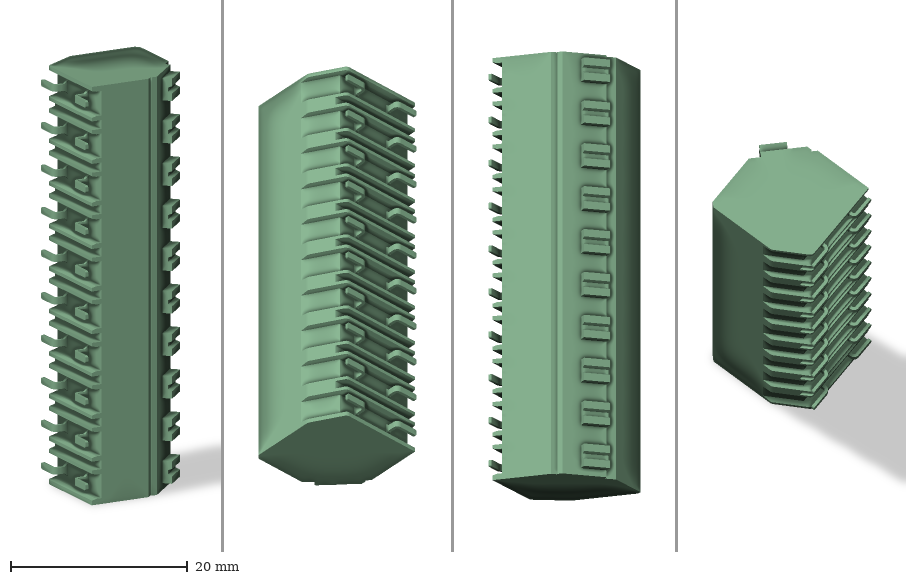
import cadquery as cq
import math

length = 49.2
width = 12.7
depth = 12.9
back_chamfer = 0.5
side_slope = math.radians(60)
slope_start_y = 4.1
slope_end_x = slope_start_y / math.tan(side_slope)
left_corner_radius = 1.0
front_corner_radius = 0.65

bevel_start_x = 7.15
bevel_sum = bevel_start_x + depth
ledge_height = 0.65
ledge_rise = ledge_height / math.sqrt(2)
ledge_start_x = 8.1
ledge_right_x = 12.35
undercut = 0.15

pole_count = 10
top_margin = 2.05
bottom_margin = 2.1
pitch = (length - top_margin - bottom_margin) / (pole_count - 1)
pole_heights = [length - top_margin - i * pitch for i in range(pole_count)]

front_recess = 1.25
side_recess = 0.6
taper_depth = side_recess
pocket_height = 3.15
pocket_floor_height = 2.85
slot_height = 1.05
overcut = 1.5

lead_thickness = 0.37
lead_height = 0.8
lead_root_height = 1.55
flare_depth = 0.5
foot_drop = 0.65
bend_radius = 0.65
foot_length = 3.0
foot_tip_radius = 0.2
left_tip_x = 1.8
right_tip_x = 12.35
lead_embed = 0.25

button_length = 3.15
button_rise = 1.15
button_height = 2.6
button_embed = 0.25
groove_depth = 0.5
groove_width = 0.9
groove_floor_width = 0.5


def make_housing():
    """Housing prism with its two rounded corners at the sloped side."""
    ledge_sum = bevel_sum + 2 * ledge_rise
    top_of_rise_x = ledge_start_x + ledge_rise
    undercut_x = ledge_right_x - undercut
    outline = [
        (0, slope_start_y),
        (slope_end_x, 0),
        (width, 0),
        (width, bevel_sum - width),
        (undercut_x, bevel_sum - undercut_x),
        (ledge_right_x, bevel_sum - undercut_x + undercut),
        (ledge_right_x, ledge_sum - ledge_right_x),
        (top_of_rise_x, ledge_sum - top_of_rise_x),
        (ledge_start_x, bevel_sum - ledge_start_x),
        (bevel_start_x, depth),
        (back_chamfer, depth),
        (0, depth - back_chamfer),
    ]
    body = cq.Workplane("XY").polyline(outline).close().extrude(length)
    left_corner = cq.NearestToPointSelector((0, slope_start_y, length / 2))
    front_corner = cq.NearestToPointSelector((slope_end_x, 0, length / 2))
    return body.edges(left_corner).fillet(left_corner_radius).edges(front_corner).fillet(front_corner_radius)


def tapered_channel(recess, run):
    """Channel along X with its mouth on y = 0; its walls taper in, then run straight to the floor."""
    floor = pocket_floor_height / 2
    taper = (pocket_height / 2 - floor) / taper_depth
    outer = floor + taper * (taper_depth + overcut)
    mouth_section = [(-overcut, -outer), (taper_depth, -floor), (taper_depth, floor), (-overcut, outer)]
    mouth = cq.Workplane("YZ").polyline(mouth_section).close().extrude(run)
    core = cq.Workplane("XY").box(run, recess, pocket_floor_height, centered=(False, False, True))
    return mouth.union(core)


def make_pocket():
    """Pocket for one pole: a deep channel along the front and a shallow one up the sloped side."""
    front = tapered_channel(front_recess, width + overcut)
    slope_run = slope_start_y / math.sin(side_slope)
    side = (
        tapered_channel(side_recess, slope_run + 2 * overcut)
        .translate((-slope_run - overcut, 0, 0))
        .rotate((0, 0, 0), (0, 0, 1), -math.degrees(side_slope))
        .translate((slope_end_x, 0, 0))
    )
    return front.union(side)


def make_slot():
    """Slot across the front between two poles."""
    return cq.Workplane("XY").box(width, front_recess, slot_height, centered=(False, False, True))


def make_lead():
    """Lead with its foot tip at x = 0 and its riser at the far end of the foot."""
    inner_radius = bend_radius - lead_thickness
    root_y = front_recess + lead_embed
    bend_y = bend_radius - foot_drop
    bend_x = foot_length - bend_radius
    diagonal = math.sqrt(0.5)
    bent_bar = (
        cq.Workplane("XY")
        .moveTo(0, -foot_drop)
        .lineTo(bend_x, -foot_drop)
        .threePointArc(
            (bend_x + bend_radius * diagonal, bend_y - bend_radius * diagonal),
            (foot_length, bend_y),
        )
        .lineTo(foot_length, root_y)
        .lineTo(foot_length - lead_thickness, root_y)
        .lineTo(foot_length - lead_thickness, bend_y)
        .threePointArc(
            (bend_x + inner_radius * diagonal, bend_y - inner_radius * diagonal),
            (bend_x, lead_thickness - foot_drop),
        )
        .lineTo(0, lead_thickness - foot_drop)
        .close()
        .extrude(lead_root_height / 2, both=True)
    )
    half, root_half = lead_height / 2, lead_root_height / 2
    flare_end_y = front_recess - flare_depth
    flared_outline = [
        (-foot_drop, -half),
        (flare_end_y, -half),
        (front_recess, -root_half),
        (root_y, -root_half),
        (root_y, root_half),
        (front_recess, root_half),
        (flare_end_y, half),
        (-foot_drop, half),
    ]
    lead = bent_bar.intersect(cq.Workplane("YZ").polyline(flared_outline).close().extrude(foot_length))
    return lead.edges("|Y and <X").fillet(foot_tip_radius)


def make_button():
    """Button standing on the ledge, with a screwdriver groove running down its face."""
    block_height = button_rise + button_embed
    block = cq.Workplane("XY").box(button_length, block_height, button_height, centered=(False, False, True))
    groove_section = [
        (block_height, -groove_width / 2),
        (block_height - groove_depth, -groove_floor_width / 2),
        (block_height - groove_depth, groove_floor_width / 2),
        (block_height, groove_width / 2),
    ]
    groove = cq.Workplane("YZ").polyline(groove_section).close().extrude(button_length)
    return (
        block.cut(groove)
        .translate((0, -button_embed, 0))
        .rotate((0, 0, 0), (0, 0, 1), -45)
        .translate((ledge_start_x + ledge_rise, bevel_sum - ledge_start_x + ledge_rise, 0))
    )


housing = make_housing()
pocket = make_pocket()
slot = make_slot()
for z in pole_heights:
    housing = housing.cut(pocket.translate((0, 0, z)))
for z in pole_heights[:-1]:
    housing = housing.cut(slot.translate((0, 0, z - pitch / 2)))

lead = make_lead()
left_lead = lead.translate((left_tip_x, 0, 0))
right_lead = lead.mirror("YZ").translate((right_tip_x, 0, 0))
pole_parts = left_lead.union(right_lead).union(make_button())
for z in pole_heights:
    housing = housing.union(pole_parts.translate((0, 0, z)))

result = housing